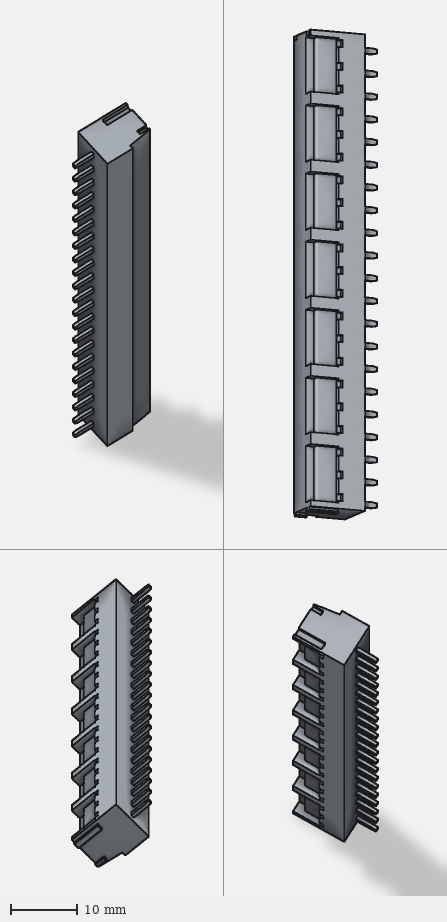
import cadquery as cq
import math

overall_length = 74.05
housing_length = 73.45
housing_width = 7.4
housing_depth = 9.0
slope_top_x = 2.45
slope_foot_x = 3.0
slope_depth = 4.2
half_width = housing_width / 2
back_y = housing_depth
side_x = -half_width

pole_count = 21
poles_per_pocket = 3
pole_pitch = housing_length / pole_count

pin_width = 0.6
pin_height = 0.9
pin_length = 3.55
pin_tip_length = 0.75
pin_tip_height = 0.6

pocket_height = 8.7
pocket_depth = 0.95
pocket_reach = 4.7
entry_depth = 1.85
entry_reach = 1.3
entry_round = 0.45
notch_height = 1.1
notch_reach = 5.3
notch_depth = 0.7

joint_height = overall_length - housing_length
tongue_inset = 0.15
widest_drop = 0.4
joints = [(-2.7, 1.2, 4.75, 0.15), (1.85, 0.75, 1.8, 0)]


def pole_z(index):
    return (index + 0.5) * pole_pitch


def make_housing():
    outline = [
        (-half_width, 0),
        (half_width, 0),
        (half_width, back_y - slope_depth),
        (slope_foot_x, back_y - slope_depth),
        (slope_top_x, back_y),
        (-half_width, back_y),
    ]
    return cq.Workplane("XY").polyline(outline).close().extrude(housing_length)


def make_pin(z):
    root = pin_height / 2
    tip = pin_tip_height / 2
    shoulder_y = pin_tip_length - pin_length
    outline = [
        (0, z - root),
        (shoulder_y, z - root),
        (-pin_length, z - tip),
        (-pin_length, z + tip),
        (shoulder_y, z + root),
        (0, z + root),
    ]
    return cq.Workplane("YZ").polyline(outline).close().extrude(pin_width / 2, both=True)


def make_pocket(middle_pole):
    """Pocket with a deeper entry behind a rounded step, and a front notch at each pole."""
    middle_z = pole_z(middle_pole)
    floor_x = side_x + pocket_depth
    entry_floor_x = side_x + entry_depth
    front_y = back_y - pocket_reach
    step_y = back_y - entry_reach
    round_center = (floor_x + entry_round, step_y - entry_round)
    round_offset = entry_round * math.sqrt(0.5)
    round_middle = (round_center[0] - round_offset, round_center[1] + round_offset)
    pocket = (
        cq.Workplane("XY", origin=(0, 0, middle_z - pocket_height / 2))
        .moveTo(side_x, back_y)
        .lineTo(side_x, front_y)
        .lineTo(floor_x, front_y)
        .lineTo(floor_x, step_y - entry_round)
        .threePointArc(round_middle, (floor_x + entry_round, step_y))
        .lineTo(entry_floor_x, step_y)
        .lineTo(entry_floor_x, back_y)
        .close()
        .extrude(pocket_height)
    )
    side_poles = poles_per_pocket // 2
    for pole in range(middle_pole - side_poles, middle_pole + side_poles + 1):
        notch = cq.Workplane("XY").box(
            notch_depth, notch_reach, notch_height, centered=(False, False, True)
        )
        pocket = pocket.union(notch.translate((side_x, back_y - notch_reach, pole_z(pole))))
    return pocket


def make_bar(outline, length):
    return cq.Workplane("XZ", origin=(0, back_y, 0)).polyline(outline).close().extrude(length)


def make_tongue(center_x, width, length):
    """Bar below the housing that flares to its full width, then tapers to its foot."""
    wide = width / 2
    narrow = wide - tongue_inset
    outline = [
        (center_x - narrow, 0),
        (center_x - wide, -widest_drop),
        (center_x - narrow, -joint_height),
        (center_x + narrow, -joint_height),
        (center_x + wide, -widest_drop),
        (center_x + narrow, 0),
    ]
    return make_bar(outline, length)


def make_groove(center_x, width, length, lean):
    """Groove in the top that is open at full width; its -X wall leans inwards towards the floor."""
    left = center_x - width / 2
    right = center_x + width / 2
    floor_z = housing_length - joint_height
    outline = [
        (left, housing_length),
        (left + lean, floor_z),
        (right, floor_z),
        (right, housing_length),
    ]
    return make_bar(outline, length)


result = make_housing()
for index in range(pole_count):
    result = result.union(make_pin(pole_z(index)))
for first_pole in range(0, pole_count, poles_per_pocket):
    result = result.cut(make_pocket(first_pole + poles_per_pocket // 2))
for center_x, width, length, lean in joints:
    result = result.union(make_tongue(center_x, width, length))
    result = result.cut(make_groove(center_x, width, length, lean))